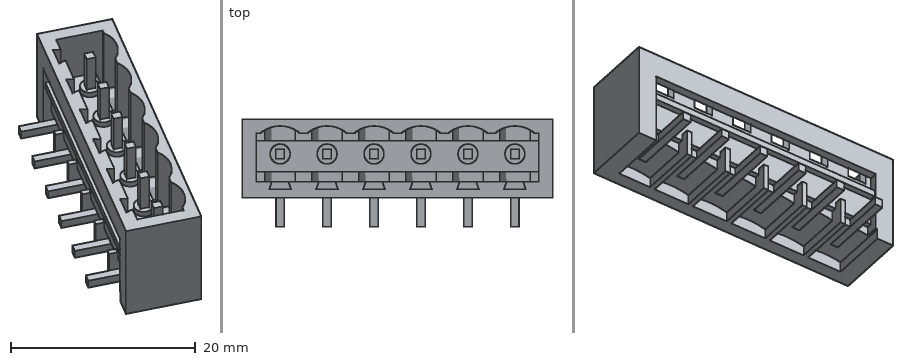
import cadquery as cq
import math


length = 33.68
depth = 8.52
height = 12.0
pin_count = 6
pitch = 5.1
pin_y = 4.75
pin_xs = [(i - (pin_count - 1) / 2) * pitch for i in range(pin_count)]

end_wall = 1.5
front_wall = 1.72
back_wall = 1.55
scallop_depth = 0.8
scallop_half_width = 2.15
cavity_floor_z = 4.05
cavity_length = length - 2 * end_wall
cavity_back_y = depth - back_wall

dovetail_depth = 0.8
dovetail_inner_width = 1.82
dovetail_outer_width = 2.35
dovetail_floor_z = 7.88

hump_radius = 1.48
hump_flank_angle = math.radians(58)
hump_half_width = 1.65
crossbar_front_y = 2.83
crossbar_back_y = 6.2
crossbar_top_z = 6.05
boss_radius = 1.08
boss_top_z = 6.75

recess_half_length = 14.55
recess_depth = 0.95
recess_top_z = 8.93
ledge_bottom_z = 6.0
ledge_top_z = 6.8
ledge_projection = 0.67

undercut_depth = 1.55
undercut_top_z = 2.53
bay_top_z = 1.55
bay_roof_radius = 8.75
last_bay_overcut = 0.2
divider_width = 0.6
divider_top_z = 3.3

pin_width = 0.95
pin_thickness = 1.0
pin_top_z = 11.15
pin_reach = 3.15
leg_bottom_z = undercut_top_z - pin_thickness


def block(x0, x1, y0, y1, z0, z1):
    """Axis-aligned box given by its limits."""
    return cq.Workplane("XY").box(x1 - x0, y1 - y0, z1 - z0, centered=False).translate((x0, y0, z0))


def make_cavity():
    """Upper cavity with one shallow arc hollowed into the back wall behind each pin."""
    half = cavity_length / 2
    outline = cq.Workplane("XY").workplane(offset=cavity_floor_z)
    outline = outline.moveTo(half, front_wall).lineTo(-half, front_wall).lineTo(-half, cavity_back_y)
    for x in pin_xs:
        outline = outline.lineTo(x - scallop_half_width, cavity_back_y).threePointArc(
            (x, cavity_back_y + scallop_depth), (x + scallop_half_width, cavity_back_y)
        )
    return outline.lineTo(half, cavity_back_y).close().extrude(height - cavity_floor_z)


def make_dovetail(x):
    """Slot that widens toward the front of the housing."""
    inner = dovetail_inner_width / 2
    outer = dovetail_outer_width / 2
    outer_y = front_wall - dovetail_depth
    corners = [
        (x - inner, front_wall),
        (x - outer, outer_y),
        (x + outer, outer_y),
        (x + inner, front_wall),
    ]
    profile = cq.Workplane("XY").workplane(offset=dovetail_floor_z).polyline(corners).close()
    return profile.extrude(height - dovetail_floor_z)


def make_hump(x):
    """Ridge along Y with a round crest and flat flanks tangent to it."""
    shoulder_x = hump_radius * math.sin(hump_flank_angle)
    shoulder_z = cavity_floor_z + (hump_half_width - shoulder_x) * math.tan(hump_flank_angle)
    crest_z = shoulder_z + hump_radius * (1 - math.cos(hump_flank_angle))
    profile = (
        cq.Workplane("XZ", origin=(0, front_wall, 0))
        .moveTo(x - hump_half_width, cavity_floor_z)
        .lineTo(x - shoulder_x, shoulder_z)
        .threePointArc((x, crest_z), (x + shoulder_x, shoulder_z))
        .lineTo(x + hump_half_width, cavity_floor_z)
        .close()
    )
    return profile.extrude(front_wall - cavity_back_y - scallop_depth)


def make_boss(x):
    """Round collar around a pin, on top of the crossbar."""
    base = cq.Workplane("XY", origin=(x, pin_y, crossbar_top_z))
    return base.circle(boss_radius).extrude(boss_top_z - crossbar_top_z)


def make_bay(pin_x, x0, x1):
    """Space open to the underside and the front, with a roof arched about the pin."""
    bay = block(x0, x1, 0, cavity_back_y, 0, bay_top_z)
    roof = cq.Workplane("XZ").center(pin_x, bay_top_z - bay_roof_radius).circle(bay_roof_radius)
    return bay.intersect(roof.extrude(-cavity_back_y))


def make_pin(x):
    """Upright post with a leg that bends out through the front."""
    half_thickness = pin_thickness / 2
    back_y = pin_y + half_thickness
    x0 = x - pin_width / 2
    x1 = x + pin_width / 2
    post = block(x0, x1, pin_y - half_thickness, back_y, leg_bottom_z, pin_top_z)
    leg = block(x0, x1, -pin_reach, back_y, leg_bottom_z, undercut_top_z)
    return post.union(leg)


def make_housing(pins):
    body = block(-length / 2, length / 2, 0, depth, 0, height)

    body = body.cut(make_cavity())
    for x in pin_xs:
        body = body.union(make_hump(x))
    body = body.union(
        block(
            -cavity_length / 2, cavity_length / 2,
            crossbar_front_y, crossbar_back_y,
            cavity_floor_z, crossbar_top_z,
        )
    )
    for x in pin_xs:
        body = body.union(make_boss(x))
        body = body.cut(make_dovetail(x))

    left = -recess_half_length
    right = recess_half_length
    body = body.cut(block(left, right, 0, recess_depth, 0, recess_top_z))
    body = body.cut(block(left, right, 0, undercut_depth, 0, undercut_top_z))
    ledge_front_y = recess_depth - ledge_projection
    body = body.union(block(left, right, ledge_front_y, recess_depth, ledge_bottom_z, ledge_top_z))

    divider_xs = [(a + b) / 2 for a, b in zip(pin_xs, pin_xs[1:])]
    bay_starts = [left] + [x + divider_width / 2 for x in divider_xs]
    bay_ends = [x - divider_width / 2 for x in divider_xs] + [right + last_bay_overcut]
    for x, start, end in zip(pin_xs, bay_starts, bay_ends):
        body = body.cut(make_bay(x, start, end))
    for x in divider_xs:
        x0 = x - divider_width / 2
        x1 = x + divider_width / 2
        body = body.union(block(x0, x1, 0, recess_depth, 0, divider_top_z))
        body = body.union(block(x0, x1, recess_depth, undercut_depth, 0, undercut_top_z))

    for pin in pins:
        body = body.cut(pin)
    return body


pins = [make_pin(x) for x in pin_xs]
housing = make_housing(pins)

result = cq.Compound.makeCompound([housing.val()] + [pin.val() for pin in pins])